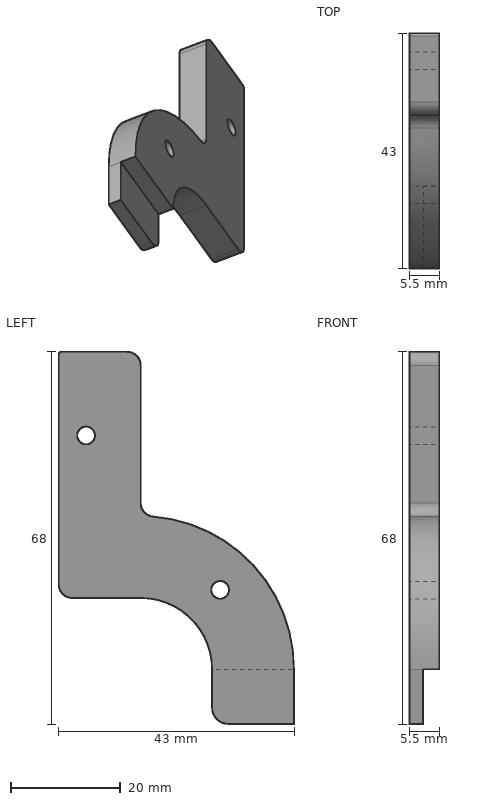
import cadquery as cq
import math

thickness = 5.5
band_width = 15.0
outer_radius = 28.0
arm_length = 45.0
tail_length = 10.0
tail_thickness = 2.5
corner_radius = 2.5
tail_corner_radius = 3.0
top_edge_radius = 0.5
hole_diameter = 3.2
arm_hole_from_back = 5.0
arm_hole_from_top = 15.3
mid_bend_angle = 45.0

inner_radius = outer_radius - band_width
bend_y = outer_radius
bend_z = tail_length
back_y = bend_y + band_width
arm_foot_z = bend_z + inner_radius
arm_top_z = arm_foot_z + arm_length
bend_top_z = bend_z + outer_radius
bend_hole_radius = (inner_radius + outer_radius) / 2


def on_bend(radius, angle):
    """Point (Y, Z) on the bend; the angle rises from the tail towards the arm."""
    turn = math.radians(angle)
    return bend_y - radius * math.cos(turn), bend_z + radius * math.sin(turn)


def round_corner(body, y, z, radius):
    """Fillet the edge along X that passes through (y, z)."""
    reach = 0.1
    box = cq.selectors.BoxSelector(
        (-reach, y - reach, z - reach), (thickness + reach, y + reach, z + reach)
    )
    return body.edges("|X").edges(box).fillet(radius)


def make_plate():
    plate = (
        cq.Workplane("YZ")
        .moveTo(0, 0)
        .lineTo(0, bend_z)
        .threePointArc(on_bend(outer_radius, mid_bend_angle), (bend_y, bend_top_z))
        .lineTo(bend_y, arm_top_z)
        .lineTo(back_y, arm_top_z)
        .lineTo(back_y, arm_foot_z)
        .lineTo(bend_y, arm_foot_z)
        .threePointArc(on_bend(inner_radius, mid_bend_angle), (band_width, bend_z))
        .lineTo(band_width, 0)
        .close()
        .extrude(thickness)
    )
    plate = round_corner(plate, bend_y, bend_top_z, corner_radius)
    plate = round_corner(plate, bend_y, arm_top_z, corner_radius)
    plate = round_corner(plate, back_y, arm_top_z, top_edge_radius)
    plate = round_corner(plate, back_y, arm_foot_z, corner_radius)
    return round_corner(plate, band_width, 0, tail_corner_radius)


def tail_step():
    """Material removed from the +X side to thin the tail."""
    return (
        cq.Workplane("XY")
        .box(thickness - tail_thickness, band_width, tail_length, centered=False)
        .translate((tail_thickness, 0, 0))
    )


def screw_holes():
    arm_hole = (back_y - arm_hole_from_back, arm_top_z - arm_hole_from_top)
    bend_hole = on_bend(bend_hole_radius, mid_bend_angle)
    return (
        cq.Workplane("YZ")
        .pushPoints([arm_hole, bend_hole])
        .circle(hole_diameter / 2)
        .extrude(thickness)
    )


result = make_plate().cut(tail_step()).cut(screw_holes())